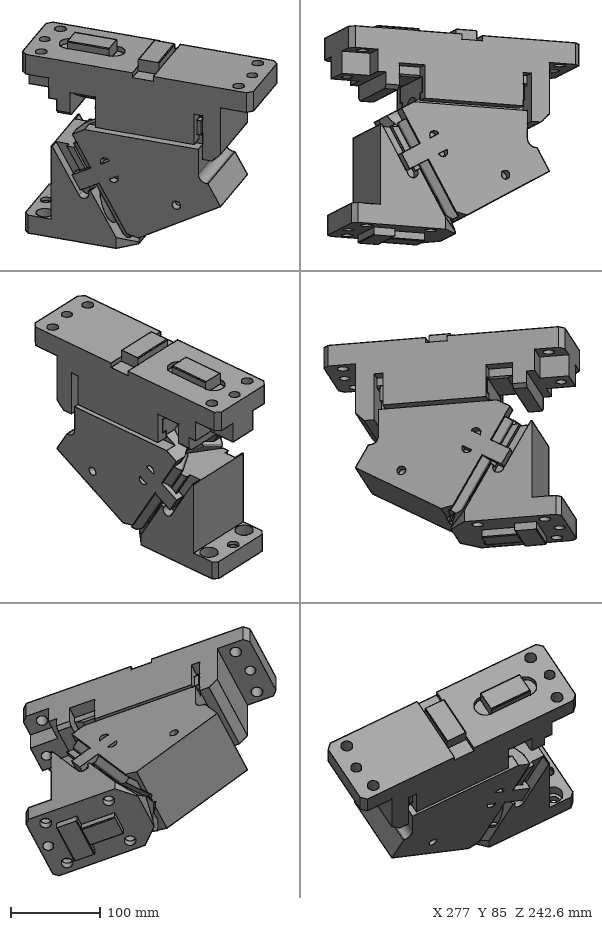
import cadquery as cq
import math


width = 85.0
half_width = width / 2
key_length = 50.0
key_width = 25.0
key_rise = 9.0
key_bevel = 1.0
bolt_spread = 30.0
bolt_diameter = 13.0
dowel_diameter = 12.0

slide_angle = math.radians(60)
n_x = math.sin(slide_angle)
n_z = math.cos(slide_angle)
ridge_tilt = math.radians(30)
ridge_slope = math.tan(ridge_tilt)
ridge_apex_n = 130.4
far = 300.0

tway_neck_half = 28.0
tway_head_half = 34.0
tway_lip_z = 156.5
tway_top_z = 174.5


def box(x_range, y_range, z_range):
    """Axis-aligned block between pairs of limits."""
    (x0, x1), (y0, y1), (z0, z1) = x_range, y_range, z_range
    return cq.Workplane("XY").box(x1 - x0, y1 - y0, z1 - z0, centered=False).translate((x0, y0, z0))


def side_prism(points, half):
    """XZ outline extruded evenly to both sides of Y = 0."""
    return cq.Workplane("XZ").polyline(points).close().extrude(half, both=True)


def slope_section(points, v_low, v_high):
    """(across, n) outline extruded along the slideway from v_low to v_high."""
    origin = (-n_z * v_low, 0, n_x * v_low)
    plane = cq.Plane(origin=origin, xDir=(0, -1, 0), normal=(-n_z, 0, n_x))
    return cq.Workplane(plane).polyline(points).close().extrude(v_high - v_low)


def slope_side(y):
    """Workplane at a given Y with local axes (n, v); it extrudes toward -Y."""
    return cq.Workplane(cq.Plane(origin=(0, y, 0), xDir=(n_x, 0, n_z), normal=(0, -1, 0)))


def slope_side_block(n_range, v_range, y_inner, y_outer):
    """Block square to the slope, on the -Y side between two distances from the middle."""
    (n0, n1), (v0, v1) = n_range, v_range
    outline = slope_side(-y_inner).polyline([(n0, v0), (n1, v0), (n1, v1), (n0, v1)]).close()
    return outline.extrude(y_outer - y_inner)


def mirrored(shape):
    """A -Y side feature together with its +Y twin."""
    return shape.union(shape.mirror("XZ"))


def vertical_holes(points, diameter, z_low, z_high):
    """Vertical cylinders at the given (x, y) places."""
    circles = cq.Workplane("XY", origin=(0, 0, z_low)).pushPoints(points).circle(diameter / 2)
    return circles.extrude(z_high - z_low)


base_left_x = 3.7
base_right_x = 134.0
flange_z = 22.7
column_x = 36.5
column_z = 114.5
base_front_chamfer = 5.3
base_rear_chamfer = 19.7
base_bolt_x = 24.5
base_dowel_x = 14.5
dowel_recess_diameter = 13.0
dowel_recess_depth = 4.0
base_rear_bolt_x = 101.5
counterbore_diameter = 20.5
counterbore_depth = 14.0
cross_key_x = 35.4
long_key_end_x = 101.0
slot_floor_half = 30.0
ridge_side_half = 35.6
slot_n = (90.0, 102.7)
slot_radius = (slot_n[1] - slot_n[0]) / 2
slot_end_v = 16.3


def make_base():
    """Flanged column with the slanted ridge, hook slots, mounting holes and keys."""
    body = side_prism(
        [
            (base_left_x, 0),
            (base_right_x, 0),
            (base_right_x, column_z),
            (column_x, column_z),
            (column_x, flange_z),
            (base_left_x, flange_z),
        ],
        half_width,
    )
    body = body.edges("|Z and <X").chamfer(base_front_chamfer)
    body = body.edges("|Z and >X").chamfer(base_rear_chamfer)

    eave_n = ridge_apex_n - half_width * ridge_slope
    ridge = [
        (-half_width, -far),
        (half_width, -far),
        (half_width, eave_n),
        (0, ridge_apex_n),
        (-half_width, eave_n),
    ]
    body = body.intersect(slope_section(ridge, -far, far))

    channel = slope_side_block(slot_n, (slot_end_v, far), slot_floor_half, half_width)
    round_end = slope_side(-slot_floor_half).center(slot_n[0] + slot_radius, slot_end_v).circle(slot_radius)
    channel = channel.union(round_end.extrude(half_width - slot_floor_half))
    relief = slope_side_block((slot_n[1], far), (slot_end_v, far), ridge_side_half, half_width)
    body = body.cut(mirrored(channel.union(relief)))

    sides = (-bolt_spread, bolt_spread)
    front_bolts = [(base_bolt_x, y) for y in sides]
    rear_bolts = [(base_rear_bolt_x, y) for y in sides]
    counterbore_z = flange_z - counterbore_depth
    bolts = front_bolts + rear_bolts
    body = body.cut(vertical_holes(bolts, bolt_diameter, 0, flange_z))
    body = body.cut(vertical_holes(bolts, counterbore_diameter, counterbore_z, column_z))
    dowel = [(base_dowel_x, 0)]
    body = body.cut(vertical_holes(dowel, dowel_diameter, 0, flange_z))
    body = body.cut(vertical_holes(dowel, dowel_recess_diameter, flange_z - dowel_recess_depth, flange_z))

    cross_end = cross_key_x + key_width
    cross_key = box((cross_key_x, cross_end), (-key_length / 2, key_length / 2), (-key_rise, 0))
    cross_key = cross_key.edges("|Y and <Z").chamfer(key_bevel)
    long_key = box((cross_end, long_key_end_x), (-key_width / 2, key_width / 2), (-key_rise, 0))
    long_key = long_key.edges("|X and <Z").chamfer(key_bevel)
    return body.union(cross_key).union(long_key)


nose = (61.8, 134.3)
slide_face_n = nose[0] * n_x + nose[1] * n_z
nose_v = nose[1] * n_x - nose[0] * n_z
slide_right_x = 213.0
slide_top_z = 142.8
toe_n = 245.2
slide_bottom_v = -54.5
toe = (toe_n * n_x - slide_bottom_v * n_z, toe_n * n_z + slide_bottom_v * n_x)
heel = (141.0, 18.0)
slide_face_end_v = -45.6
relief_radius = 10.0
relief_center_z = 111.5
slide_vee_half = 28.5
vee_rib_half = 3.0
vee_rib_root_half = 5.0
vee_rib_n = 131.5
plate_round = 1.8
plate_thickness = 12.0
plate_edge_half = 34.2
plate_v = (-51.5, 73.0)
plate_notch_half = 13.0
plate_notch_depth = 15.0
lead_depth = 5.2
lead_length = 7.8
hook_v = (21.0, 41.0)
hook_tip_n = 94.7
hook_step_n = 101.5
hook_tip_half = 31.5
hook_shank_half = 36.0
pocket_n = 140.5
pocket_diameter = 11.5
pocket_depth = 10.0
spring_bore_radius = 17.2
spring_bore_z = 139.3
spring_bore_end_x = 150.0
pin_hole = (186.6, 67.6)
pin_hole_diameter = 10.0
pin_hole_depth = 10.0
pin_hole_cone = 3.0
head_start_x = 90.2


def make_plate():
    """Wear plate on the -Y face of the ridge, running from the apex down to its outer edge."""
    tilt_cos = math.cos(ridge_tilt)
    tilt_sin = math.sin(ridge_tilt)
    face_plane = cq.Plane(
        origin=(ridge_apex_n * n_x, 0, ridge_apex_n * n_z),
        xDir=(tilt_cos * n_x, -tilt_sin, tilt_cos * n_z),
        normal=(-tilt_sin * n_x, -tilt_cos, -tilt_sin * n_z),
    )
    v_low, v_high = plate_v
    plate_width = plate_edge_half / tilt_cos
    plate = (
        cq.Workplane(face_plane)
        .moveTo(0, v_low + lead_length)
        .lineTo(lead_depth, v_low)
        .lineTo(plate_thickness, v_low)
        .lineTo(plate_thickness, v_high)
        .lineTo(0, v_high)
        .close()
        .extrude(plate_width)
    )
    notch = (
        cq.Workplane(cq.Plane(origin=(0, 0, 0), xDir=(0, 1, 0), normal=(n_x, 0, n_z)))
        .moveTo(-plate_notch_half, v_high)
        .lineTo(0, v_high - plate_notch_depth)
        .lineTo(plate_notch_half, v_high)
        .close()
        .extrude(far)
    )
    plate = plate.cut(notch)

    notch_width = plate_notch_half / tilt_cos
    edge_middles = [
        (0, (v_low + v_high) / 2, plate_width),
        (0, v_high, (notch_width + plate_width) / 2),
        (0, v_high - plate_notch_depth / 2, notch_width / 2),
    ]
    rounded = plate.newObject([])
    for middle in edge_middles:
        nearest = cq.selectors.NearestToPointSelector(face_plane.toWorldCoords(middle))
        rounded = rounded.add(plate.edges(nearest))
    return plate.newObject(rounded.vals()).fillet(plate_round)


def make_slide_body():
    """Full-width slide outline with the T-shaped head on top."""
    relief_start = (slide_right_x, relief_center_z)
    relief_center_x = slide_right_x + relief_radius
    relief_diagonal = relief_radius * math.sqrt(0.5)
    relief_mid = (relief_center_x - relief_diagonal, relief_center_z - relief_diagonal)
    relief_end = (relief_center_x, relief_center_z - relief_radius)
    shoulder = ((toe_n - relief_end[1] * n_z) / n_x, relief_end[1])
    face_end = (
        slide_face_n * n_x - slide_face_end_v * n_z,
        slide_face_n * n_z + slide_face_end_v * n_x,
    )
    nose_top = (nose[0] + (slide_top_z - nose[1]) * math.tan(slide_angle), slide_top_z)
    body = (
        cq.Workplane("XZ")
        .moveTo(*nose)
        .lineTo(*nose_top)
        .lineTo(slide_right_x, slide_top_z)
        .lineTo(*relief_start)
        .threePointArc(relief_mid, relief_end)
        .lineTo(*shoulder)
        .lineTo(*toe)
        .lineTo(*heel)
        .lineTo(*face_end)
        .close()
        .extrude(half_width, both=True)
    )
    head_start_z = nose[1] + (head_start_x - nose[0]) / math.tan(slide_angle)
    neck_outline = [
        nose_top,
        (head_start_x, head_start_z),
        (head_start_x, tway_lip_z),
        (slide_right_x, tway_lip_z),
        (slide_right_x, slide_top_z),
    ]
    neck = side_prism(neck_outline, tway_neck_half)
    head_x = (head_start_x, slide_right_x)
    head = box(head_x, (-tway_head_half, tway_head_half), (tway_lip_z, tway_top_z))
    return body.union(neck).union(head)


def make_slide_vee():
    """Cutter for the V in the slide, leaving a narrow rib along its middle."""
    rib_root_n = slide_face_n + (slide_vee_half - vee_rib_root_half) * ridge_slope
    vee = [
        (-slide_vee_half, 0),
        (slide_vee_half, 0),
        (slide_vee_half, slide_face_n),
        (vee_rib_root_half, rib_root_n),
        (vee_rib_half, vee_rib_n),
        (-vee_rib_half, vee_rib_n),
        (-vee_rib_root_half, rib_root_n),
        (-slide_vee_half, slide_face_n),
    ]
    return slope_section(vee, -far, nose_v)


def make_hook():
    """Return hook reaching from the slide face into the slot of the base, -Y side."""
    tip = slope_side_block((hook_tip_n, hook_step_n), hook_v, hook_tip_half, half_width)
    shank = slope_side_block((hook_step_n, slide_face_n), hook_v, hook_shank_half, half_width)
    return tip.union(shank)


def make_hook_pockets():
    """Half-round pockets along both edges of the hook strip, -Y side."""
    circles = slope_side(pocket_depth - half_width).pushPoints([(pocket_n, v) for v in hook_v])
    strip = slope_side_block((slide_face_n, far), hook_v, 0, half_width)
    return circles.circle(pocket_diameter / 2).extrude(pocket_depth).cut(strip)


def make_pin_hole():
    """Blind hole with a conical bottom, -Y side."""
    x, z = pin_hole
    bottom_y = pin_hole_depth - half_width
    hole = cq.Workplane("XZ", origin=(x, bottom_y, z)).circle(pin_hole_diameter / 2).extrude(pin_hole_depth)
    cone = cq.Solid.makeCone(
        pin_hole_diameter / 2, 0, pin_hole_cone, cq.Vector(x, bottom_y, z), cq.Vector(0, 1, 0)
    )
    return hole.union(cq.Workplane(cone))


def make_slide():
    """Cam slide with its V, wear plates, return hooks and spring bore."""
    body = make_slide_body().cut(make_slide_vee())
    body = body.union(mirrored(make_plate())).union(mirrored(make_hook()))
    for pocket in (make_hook_pockets(), make_pin_hole()):
        body = body.cut(pocket).cut(pocket.mirror("XZ"))
    spring_bore = cq.Workplane("YZ").center(0, spring_bore_z).circle(spring_bore_radius)
    return body.cut(spring_bore.extrude(spring_bore_end_x))


driver_length = 277.0
driver_top_z = 224.6
plate_low_z = 199.8
plate_corner = 6.0
web_half = 17.0
web_end_x = 33.4
core_low_z = tway_top_z
front_leg_x = (43.0, 59.0)
front_leg_z = 156.3
front_leg_chamfer = 4.4
rail_x = (89.5, 208.0)
rail_low_z = 147.9
rear_leg_x = (218.0, 239.5)
rear_leg_z = 131.0
rear_leg_chamfer = 10.0
notch_top_z = 186.0
rib_half = 28.0
rib_chamfer = 2.0
rib_ramp_rise = 3.2
rib_ramp_length = 9.4
recess_depth = 6.0
recess_center_x = 69.5
recess_length = 77.0
groove_center_x = 146.5
driver_bolt_x = (20.0, 256.5)
driver_dowel_x = (12.5, 261.5)


def make_driver():
    """Top plate with legs, T-way rails, keys and mounting holes."""
    plate = box((0, driver_length), (-half_width, half_width), (plate_low_z, driver_top_z))
    plate = plate.edges("|Z").chamfer(plate_corner)
    web = box((0, web_end_x), (-web_half, web_half), (core_low_z, plate_low_z))
    block = box((web_end_x, rear_leg_x[1]), (-half_width, half_width), (notch_top_z, plate_low_z))
    toe_block = box((web_end_x, front_leg_x[1]), (-half_width, half_width), (core_low_z, notch_top_z))
    front_leg = box(front_leg_x, (-half_width, half_width), (front_leg_z, core_low_z))
    front_leg = front_leg.edges("|X and <Z").chamfer(front_leg_chamfer)
    rail = box(rail_x, (-half_width, half_width), (rail_low_z, notch_top_z))
    rib = box((front_leg_x[1], rear_leg_x[0]), (-rib_half, rib_half), (core_low_z, notch_top_z))
    rib = rib.edges("|X and <Z").chamfer(rib_chamfer)
    ramp = [
        (front_leg_x[1], core_low_z),
        (front_leg_x[1], core_low_z + rib_ramp_rise),
        (front_leg_x[1] + rib_ramp_length, core_low_z),
    ]
    rib = rib.cut(side_prism(ramp, rib_half))
    rear_leg = box(rear_leg_x, (-half_width, half_width), (rear_leg_z, notch_top_z))
    rear_leg = rear_leg.edges("|Y and >X and <Z").chamfer(rear_leg_chamfer)
    body = plate
    for piece in (web, block, toe_block, front_leg, rail, rib, rear_leg):
        body = body.union(piece)
    body = body.cut(box(rail_x, (-tway_neck_half, tway_neck_half), (rail_low_z, tway_lip_z)))
    body = body.cut(box(rail_x, (-tway_head_half, tway_head_half), (tway_lip_z, tway_top_z)))

    recess_z = driver_top_z - recess_depth
    recess = cq.Workplane("XY", origin=(recess_center_x, 0, recess_z)).slot2D(recess_length, key_width)
    body = body.cut(recess.extrude(recess_depth))
    groove_x = (groove_center_x - key_width / 2, groove_center_x + key_width / 2)
    body = body.cut(box(groove_x, (-half_width, half_width), (recess_z, driver_top_z)))
    key_z = (recess_z, driver_top_z + key_rise)
    long_x = (recess_center_x - key_length / 2, recess_center_x + key_length / 2)
    long_key = box(long_x, (-key_width / 2, key_width / 2), key_z).edges("|X and >Z").chamfer(key_bevel)
    cross_key = box(groove_x, (-key_length / 2, key_length / 2), key_z).edges("|Y and >Z").chamfer(key_bevel)
    body = body.union(long_key).union(cross_key)

    bolts = [(x, y) for x in driver_bolt_x for y in (-bolt_spread, bolt_spread)]
    dowels = [(x, 0) for x in driver_dowel_x]
    body = body.cut(vertical_holes(bolts, bolt_diameter, 0, driver_top_z))
    return body.cut(vertical_holes(dowels, dowel_diameter, 0, driver_top_z))


base = make_base()
slide = make_slide()
driver = make_driver()
result = cq.Compound.makeCompound([base.solids().val(), slide.solids().val(), driver.solids().val()])